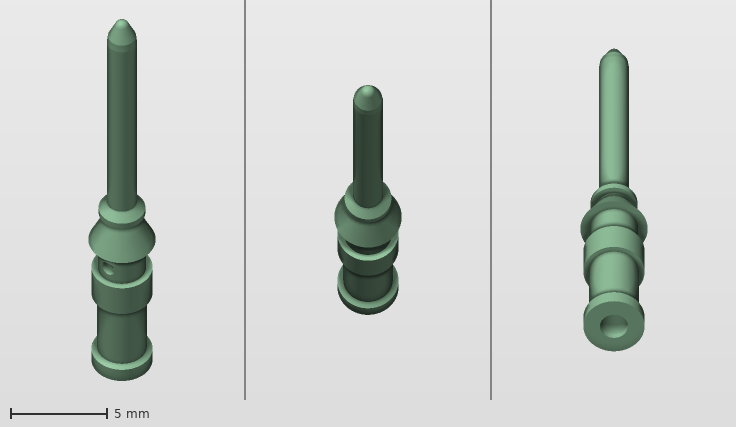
import cadquery as cq
import math

LENGTH = 24.9

TIP_DIAMETER = 0.7
TAPER_DIAMETER = 1.47
PIN_DIAMETER = 1.57
COLLAR_DIAMETER = 2.45
NECK_DIAMETER = 1.77
BARB_DIAMETER = 3.5
WAIST_DIAMETER = 2.51
RING_DIAMETER = 3.19
FOOT_DIAMETER = RING_DIAMETER
BARREL_DIAMETER = 2.6
BORE_DIAMETER = 1.47
INSPECTION_DIAMETER = 0.8

FOOT_TOP = 0.82
FOOT_SHOULDER_TOP = 0.97
RING_BOTTOM = 4.93
RING_TOP = 6.82
BARB_BOTTOM = 8.85
BARB_TOP = 10.7
COLLAR_BOTTOM = 10.83
COLLAR_TOP = 11.2
SHOULDER_TOP = 11.65
PIN_TOP = 23.38
TAPER_BOTTOM = 23.83
TIP_BOTTOM = 24.68
INSPECTION_HEIGHT = 7.7

BORE_DEPTH = 8.47


def turned_body():
    """Solid of revolution for the whole contact, foot at the bottom and domed tip on top."""
    tip_radius = TIP_DIAMETER / 2
    dome_height = LENGTH - TIP_BOTTOM
    dome_radius = (tip_radius**2 + dome_height**2) / (2 * dome_height)
    dome_middle_radius = tip_radius / 2
    dome_middle_height = LENGTH - dome_radius + math.sqrt(dome_radius**2 - dome_middle_radius**2)
    return (
        cq.Workplane("XZ")
        .moveTo(0, 0)
        .lineTo(FOOT_DIAMETER / 2, 0)
        .lineTo(FOOT_DIAMETER / 2, FOOT_TOP)
        .lineTo(BARREL_DIAMETER / 2, FOOT_SHOULDER_TOP)
        .lineTo(BARREL_DIAMETER / 2, RING_BOTTOM)
        .lineTo(RING_DIAMETER / 2, RING_BOTTOM)
        .lineTo(RING_DIAMETER / 2, RING_TOP)
        .lineTo(WAIST_DIAMETER / 2, RING_TOP)
        .lineTo(WAIST_DIAMETER / 2, BARB_BOTTOM)
        .lineTo(BARB_DIAMETER / 2, BARB_BOTTOM)
        .lineTo(NECK_DIAMETER / 2, BARB_TOP)
        .lineTo(NECK_DIAMETER / 2, COLLAR_BOTTOM)
        .lineTo(COLLAR_DIAMETER / 2, COLLAR_BOTTOM)
        .lineTo(COLLAR_DIAMETER / 2, COLLAR_TOP)
        .lineTo(PIN_DIAMETER / 2, SHOULDER_TOP)
        .lineTo(PIN_DIAMETER / 2, PIN_TOP)
        .lineTo(TAPER_DIAMETER / 2, TAPER_BOTTOM)
        .lineTo(tip_radius, TIP_BOTTOM)
        .threePointArc((dome_middle_radius, dome_middle_height), (0, LENGTH))
        .close()
        .revolve(360, (0, 0, 0), (0, 1, 0))
    )


def wire_bore():
    """Blind bore for the wire, entering from the foot."""
    return cq.Workplane("XY").circle(BORE_DIAMETER / 2).extrude(BORE_DEPTH)


def inspection_hole():
    """Radial hole through the -Y wall of the waist, opening into the wire bore."""
    return (
        cq.Workplane("XZ")
        .center(0, INSPECTION_HEIGHT)
        .circle(INSPECTION_DIAMETER / 2)
        .extrude(WAIST_DIAMETER)
    )


result = turned_body().cut(wire_bore()).cut(inspection_hole())